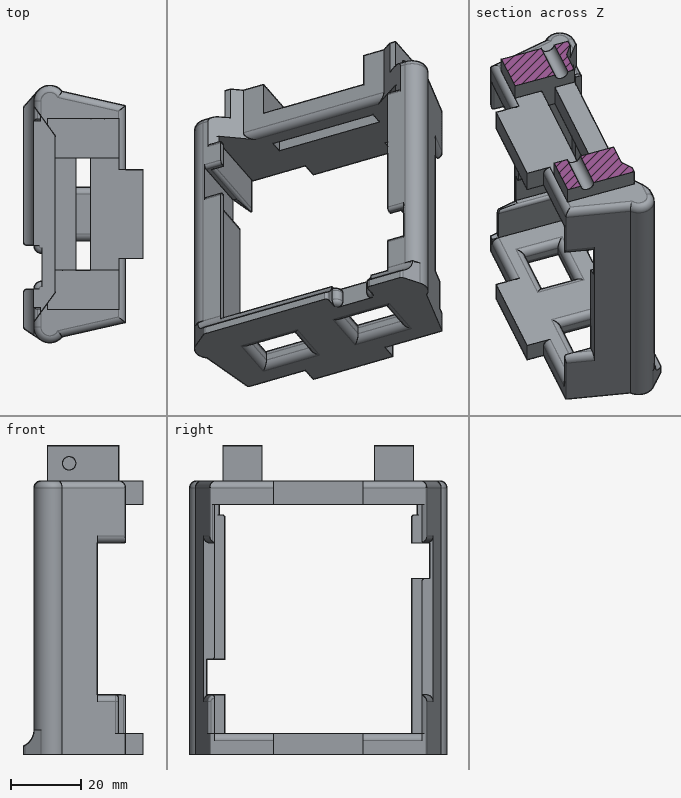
import cadquery as cq
import math

overall_height = 87.66
half_width = 73.11 / 2
front_x = 3.0
rear_x = 29.0
tab_rear_x = 34.0
lug_height = 10.0
frame_top = overall_height - lug_height

column_radius = 4.5
column_x = front_x + column_radius
column_y = half_width - column_radius
wall_start_x = 11.0
wall_start_y = column_y + math.sqrt(column_radius**2 - (wall_start_x - column_x) ** 2)
rear_half_width = 30.8
edge_round = 2.0
small_round = 1.0
rear_inner_round = 0.6
rear_outer_round = 0.3

floor_top = 6.0
beam_bottom = 70.9
inner_half_width = 29.4
flange_rear_x = 4.85
flange_half_gap = 26.5
flange_top = 68.0
flange_chamfer = 0.5

rear_gap_x = 21.0
rear_gap_bottom = 17.0
rear_gap_top = 60.0
short_ear_x = 27.0
slot_height = 10.0
slot_half_width = 31.6
left_slot_bottom = 50.0
right_slot_bottom = 17.0

beam_front_x = 9.0
slant_inner_y = 22.3
slant_outer_y = 30.6
beam_slot_front = 15.0
beam_slot_rear = 19.0
lug_front_x = 6.85
lug_rear_x = 27.1
lug_inner_y = 15.9
lug_outer_y = 27.1
lug_hole_diameter = 3.8
right_lug_hole_x = 13.0
left_lug_hole_x = 21.1
tab_half_width = 12.65

window_front_x = 12.0
window_rear_x = 22.0
window_inner_y = 7.65
window_outer_y = 21.5

lip_edge_height = 2.4
lip_curve_radius = 5.0
lip_curve_x = front_x - lip_curve_radius
lip_curve_z = lip_edge_height + math.sqrt(lip_curve_radius**2 - lip_curve_x**2)
lip_left_angle = 41.4
lip_right_angle = 56.0
lip_gap_left = -8.9
lip_gap_right = -21.3
notch_depth_x = 5.26
notch_round = notch_depth_x - front_x
notch_corner_round = 0.95 * notch_round
notch_rim_round = 1.5

over = 1.0
tolerance = 0.1


def box(x0, x1, y0, y1, z0, z1):
    """Axis-aligned block between two corners."""
    return cq.Workplane("XY").box(x1 - x0, y1 - y0, z1 - z0, centered=False).translate((x0, y0, z0))


def around(value):
    """Narrow range about a coordinate."""
    return value - tolerance, value + tolerance


def near(x_range, y_range, z_range):
    """Selector for the edges whose centres lie inside a block."""
    low, high = zip(x_range, y_range, z_range)
    return cq.selectors.BoxSelector(low, high)


def plan_block():
    """Block with round front columns and tapered sides."""
    return (
        cq.Workplane("XY")
        .moveTo(front_x, -column_y)
        .threePointArc((column_x, -half_width), (wall_start_x, -wall_start_y))
        .lineTo(rear_x, -rear_half_width)
        .lineTo(rear_x, rear_half_width)
        .lineTo(wall_start_x, wall_start_y)
        .threePointArc((column_x, half_width), (front_x, column_y))
        .close()
        .extrude(frame_top)
    )


def outer_body():
    """Plan block with rounded top and rear corners and the gap between the rear ears."""
    body = plan_block().faces(">Z").edges().fillet(edge_round)
    gap = box(rear_gap_x, rear_x + over, -half_width, half_width, rear_gap_bottom, rear_gap_top)
    body = body.cut(gap)
    for side in (-1, 1):
        outer_y = sorted((side * rear_half_width, side * half_width))
        for z in (rear_gap_bottom, rear_gap_top):
            ear_edge = near((rear_gap_x, rear_x), outer_y, around(z))
            body = body.edges(ear_edge).fillet(edge_round)
    rear_rounded = plan_block().faces(">X").edges("|Z").fillet(rear_outer_round)
    return body.intersect(rear_rounded)


def lip_end_points(angle):
    """Front corner of the lip and its tangent point on a column, for the +Y side."""
    a = math.radians(angle)
    touch_x = column_x - column_radius * math.cos(a)
    touch_y = column_y + column_radius * math.sin(a)
    return (0, touch_y - touch_x / math.tan(a)), (touch_x, touch_y)


def front_lip():
    """Lip along the floor's front edge with a concave top, flared ends and a gap."""
    left_front, left_touch = lip_end_points(lip_left_angle)
    right_front, right_touch = lip_end_points(lip_right_angle)
    plan = (
        cq.Workplane("XY")
        .polyline([
            left_front,
            left_touch,
            (column_x, column_y),
            (column_x, -column_y),
            (right_touch[0], -right_touch[1]),
            (right_front[0], -right_front[1]),
        ])
        .close()
        .extrude(lip_curve_z)
    )
    plan = plan.cut(box(-over, front_x, lip_gap_right, lip_gap_left, 0, lip_curve_z))
    plan = plan.edges("|Z").edges("<X").fillet(small_round)
    mid_x = lip_curve_x + lip_curve_radius * math.sqrt(0.5)
    mid_z = lip_curve_z - lip_curve_radius * math.sqrt(0.5)
    profile = (
        cq.Workplane("XZ")
        .lineTo(0, lip_edge_height)
        .threePointArc(
            (mid_x, mid_z),
            (front_x, lip_curve_z),
        )
        .lineTo(column_x, lip_curve_z)
        .lineTo(column_x, 0)
        .close()
        .extrude(half_width, both=True)
    )
    return plan.intersect(profile)


def cut_opening(body):
    """Large front opening, the wider cavity behind the flanges and the slanted beam front."""
    cavity = box(flange_rear_x, rear_x + over, -inner_half_width, inner_half_width, floor_top, beam_bottom)
    opening = box(-over, flange_rear_x, -flange_half_gap, flange_half_gap, floor_top, flange_top)
    slant = (slant_outer_y - slant_inner_y) / (beam_front_x - front_x)
    slant_end_y = slant_outer_y + slant * over
    beam_relief = (
        cq.Workplane("XY", origin=(0, 0, flange_top))
        .polyline([
            (front_x - over, slant_end_y),
            (beam_front_x, slant_inner_y),
            (beam_front_x, -slant_inner_y),
            (front_x - over, -slant_end_y),
        ])
        .close()
        .extrude(overall_height)
    )
    body = body.union(top_lugs()).cut(beam_relief).cut(cavity).cut(opening)
    beam_edge = near(around(beam_front_x), around(0), around(beam_bottom))
    return body.edges(beam_edge).fillet(edge_round)


def top_lugs():
    """Two blocks on top of the beam, each with its own hole along Y."""
    lugs = box(lug_front_x, lug_rear_x, -lug_outer_y, lug_outer_y, beam_bottom + edge_round, overall_height)
    lugs = lugs.cut(box(0, tab_rear_x, -lug_inner_y, lug_inner_y, frame_top, overall_height))
    for side, hole_x in ((-1, right_lug_hole_x), (1, left_lug_hole_x)):
        hole = (
            cq.Workplane("XZ", origin=(hole_x, 0, frame_top + lug_height / 2))
            .circle(lug_hole_diameter / 2)
            .extrude(-side * half_width)
        )
        lugs = lugs.cut(hole)
    return lugs


def flared_slot(plane, side, mouth, end):
    """Slot cutter outline whose mouth edges bulge outwards as quarter-round flares.

    The slot runs from `mouth` to `end` in the first direction of the plane, centred on zero height.
    """
    r = small_round
    step = side * r
    half = slot_height / 2
    bulge = r * (1 - math.sqrt(0.5))
    return (
        cq.Workplane(plane)
        .moveTo(mouth, -half - r)
        .threePointArc((mouth + side * bulge, -half - bulge), (mouth + step, -half))
        .lineTo(end, -half)
        .lineTo(end, half)
        .lineTo(mouth + step, half)
        .threePointArc((mouth + side * bulge, half + bulge), (mouth, half + r))
        .close()
    )


def cut_side_slot(body, side, z0):
    """Slot across one flange and the inside of its wall, with rounded mouth edges."""
    middle = z0 + slot_height / 2
    wall_mouth = side * inner_half_width
    wall_end = side * slot_half_width
    wall_cut = flared_slot("YZ", side, wall_mouth, wall_end).extrude(rear_x + over)
    wall_cut = wall_cut.intersect(
        box(flange_rear_x, rear_x + over, -half_width, half_width, -slot_height, slot_height)
    )
    y0, y1 = sorted((0, side * slot_half_width))
    flange_cut = flared_slot("XZ", 1, front_x, column_x).extrude(half_width, both=True)
    flange_cut = flange_cut.intersect(box(0, flange_rear_x, y0, y1, -slot_height, slot_height))
    return body.cut(wall_cut.translate((0, 0, middle))).cut(flange_cut.translate((0, 0, middle)))


def cut_windows(body):
    """Two floor windows with rounded upper and lower rims."""
    window_x = (window_front_x - tolerance, window_rear_x + tolerance)
    for side in (-1, 1):
        y0, y1 = sorted((side * window_inner_y, side * window_outer_y))
        body = body.cut(box(window_front_x, window_rear_x, y0, y1, -over, floor_top + over))
        for z in (0, floor_top):
            rim = near(window_x, (y0 - tolerance, y1 + tolerance), around(z))
            body = body.edges(rim).fillet(edge_round)
    return body


def cut_lip_notch(body):
    """Notch in the floor's front edge inside the lip gap, with rounded corners."""
    y0 = lip_gap_right + notch_round
    y1 = lip_gap_left - notch_round
    body = body.cut(box(-over, notch_depth_x, y0, y1, -over, floor_top + over))
    gap_y = (lip_gap_right, lip_gap_left)
    corners = near(around(front_x), (y0 - tolerance, y1 + tolerance), (0, floor_top))
    body = body.edges(corners).edges("|Z").fillet(notch_corner_round)
    for z in (0, floor_top):
        rims = near((front_x, notch_depth_x - tolerance), gap_y, around(z))
        body = body.edges(rims).edges("%CIRCLE").fillet(notch_rim_round)
    return body


def round_flange_tops(body):
    """Rounded front edge and bevelled inner corner on top of each front flange."""
    for side in (-1, 1):
        inner_y = side * flange_half_gap
        corner = near((front_x, flange_rear_x), around(inner_y), around(flange_top))
        body = body.edges(corner).edges("|X").chamfer(flange_chamfer)
        flange_y = sorted((inner_y, side * slant_outer_y))
        front_edge = near(around(front_x), flange_y, around(flange_top))
        body = body.edges(front_edge).fillet(small_round)
    return body


def shorten_right_ear(body):
    """Trim the lower -Y ear above the floor and round its upright outer edge."""
    ear_inner_y = -inner_half_width + over
    ear_top = rear_gap_bottom + over
    body = body.cut(box(short_ear_x, rear_x + over, -half_width, ear_inner_y, floor_top, ear_top))
    upright = near(around(short_ear_x), (-wall_start_y, -rear_half_width), (floor_top, rear_gap_bottom))
    return body.edges(upright).edges("|Z").fillet(small_round)


def round_rear_edges(body):
    """Round the floor's rear edge and the inner upright rear edges of the side walls."""
    floor_edge = box(
        rear_x - edge_round, rear_x + over,
        -inner_half_width, inner_half_width,
        floor_top - edge_round, floor_top + over,
    )
    floor_bead = (
        cq.Workplane("XZ", origin=(rear_x - edge_round, 0, floor_top - edge_round))
        .circle(edge_round)
        .extrude(inner_half_width, both=True)
    )
    body = body.cut(floor_edge.cut(floor_bead))

    r = rear_inner_round
    for side in (-1, 1):
        bead_y = side * (inner_half_width + r)
        y0, y1 = sorted((side * (inner_half_width - over), bead_y))
        wall_edge = box(rear_x - r, rear_x + over, y0, y1, floor_top, beam_bottom)
        wall_bead = cq.Workplane("XY").center(rear_x - r, bead_y).circle(r).extrude(frame_top)
        body = body.cut(wall_edge.cut(wall_bead))
    return body


def add_rear_tabs(body):
    """Tabs behind the floor and behind the beam."""
    for z0, z1 in ((0, floor_top), (beam_bottom, frame_top)):
        body = body.union(box(rear_x - edge_round, tab_rear_x, -tab_half_width, tab_half_width, z0, z1))
    return body


def cut_beam_slot(body):
    """Slot through the beam between the two lugs."""
    return body.cut(
        box(beam_slot_front, beam_slot_rear, -lug_inner_y, lug_inner_y, beam_bottom - over, frame_top)
    )


body = outer_body().union(front_lip())
body = cut_opening(body)
body = cut_side_slot(body, 1, left_slot_bottom)
body = cut_side_slot(body, -1, right_slot_bottom)
body = cut_windows(body)
body = cut_lip_notch(body)
body = round_flange_tops(body)
body = shorten_right_ear(body)
body = round_rear_edges(body)
body = add_rear_tabs(body)
body = cut_beam_slot(body)
result = body